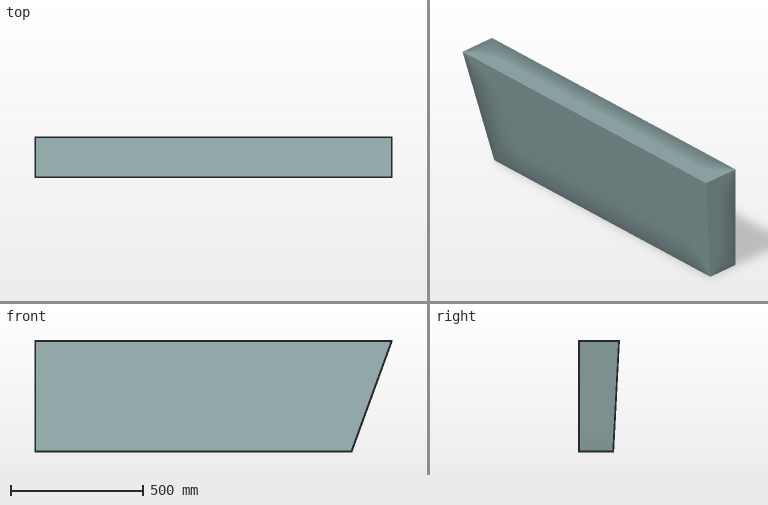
import cadquery as cq
import math

top_length = 1350.3
top_thickness = 152.4
height = 419.1

end_angle = 20.0
back_angle = 3.0

end_inset = height * math.tan(math.radians(end_angle))
back_inset = height * math.tan(math.radians(back_angle))


def cross_section():
    """Slab whose back (+Y) face leans inward toward the bottom, with square ends."""
    return (
        cq.Workplane("YZ")
        .polyline([
            (0, 0),
            (top_thickness - back_inset, 0),
            (top_thickness, height),
            (0, height),
        ])
        .close()
        .extrude(top_length)
    )


def end_profile():
    """Side outline with the raked +X end, running through the full thickness."""
    return (
        cq.Workplane("XZ")
        .polyline([
            (0, 0),
            (top_length - end_inset, 0),
            (top_length, height),
            (0, height),
        ])
        .close()
        .extrude(-top_thickness)
    )


result = cross_section().intersect(end_profile())